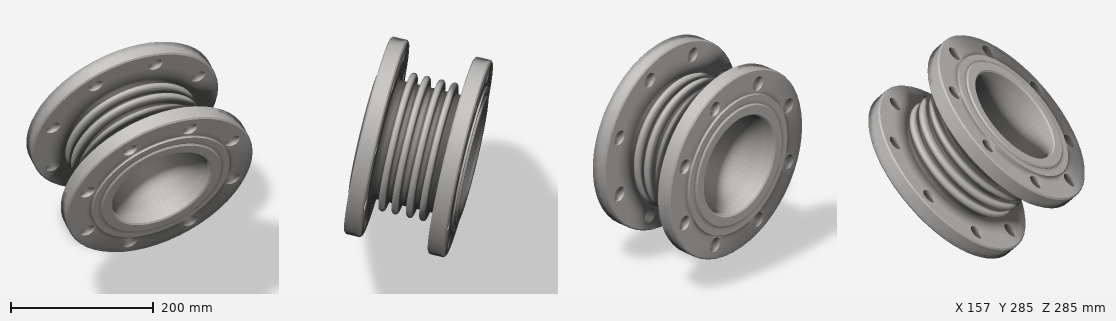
import cadquery as cq
import math

total_length = 157.0
end_face = total_length / 2
bore_diameter = 150.0
tube_diameter = 170.5
bore_chamfer = 2.0

flange_diameter = 285.0
flange_thickness = 24.0
flange_outer_face = 72.5
flange_inner_face = flange_outer_face - flange_thickness
flange_chamfer = 2.0
flange_root_fillet = 4.0

collar_diameter = 210.0
collar_face = 76.0
collar_root_fillet = 2.0
lip_diameter = 185.0
lip_chamfer = 2.0

bolt_hole_diameter = 22.0
bolt_circle_diameter = 240.0
bolt_count = 8
first_bolt_angle = 180 / bolt_count

ring_diameter = 200.0
ring_width = 9.0
ring_root_fillet = 2.0
inner_ring_offset = 10.5
outer_ring_offset = 29.5
ring_centers = (-outer_ring_offset, -inner_ring_offset, inner_ring_offset, outer_ring_offset)


def disc(diameter, x_start, x_end):
    """Solid cylinder along X between two stations."""
    return cq.Workplane("YZ", origin=(x_start, 0, 0)).circle(diameter / 2).extrude(x_end - x_start)


def flared_root(diameter, x_face, direction, radius):
    """Solid of revolution with a concave fillet between a cylinder and the face it stands on."""
    r = diameter / 2
    bend = radius * (1 - math.sqrt(0.5))
    x_tip = x_face + direction * radius
    return (
        cq.Workplane("XY")
        .moveTo(x_face, 0)
        .lineTo(x_face, r + radius)
        .threePointArc((x_face + direction * bend, r + bend), (x_tip, r))
        .lineTo(x_tip, 0)
        .close()
        .revolve(360, (0, 0, 0), (1, 0, 0))
    )


def flange_end(side):
    """Flange, raised faces and their root fillets at one end; side is -1 or +1."""
    plate = disc(flange_diameter, side * flange_inner_face, side * flange_outer_face)
    plate = plate.edges().chamfer(flange_chamfer)
    collar = disc(collar_diameter, side * flange_inner_face, side * collar_face)
    lip = disc(lip_diameter, side * flange_inner_face, side * end_face)
    collar_root = flared_root(collar_diameter, side * flange_outer_face, side, collar_root_fillet)
    lip = lip.faces(">X" if side > 0 else "<X").edges().chamfer(lip_chamfer)
    tube_root = flared_root(tube_diameter, side * flange_inner_face, -side, flange_root_fillet)
    return plate.union(collar).union(lip).union(collar_root).union(tube_root)


def bellows_ring(x_center):
    """One bellows ring with a fully rounded crest and filleted roots."""
    half_width = ring_width / 2
    crest_radius = ring_diameter / 2
    side_radius = crest_radius - half_width
    ring = (
        cq.Workplane("XY")
        .moveTo(x_center - half_width, 0)
        .lineTo(x_center - half_width, side_radius)
        .threePointArc((x_center, crest_radius), (x_center + half_width, side_radius))
        .lineTo(x_center + half_width, 0)
        .close()
        .revolve(360, (0, 0, 0), (1, 0, 0))
    )
    for side in (-1, 1):
        ring = ring.union(flared_root(tube_diameter, x_center + side * half_width, side, ring_root_fillet))
    return ring


def bolt_holes():
    """Bolt holes straddling the Y and Z axes, running through both flanges."""
    return (
        cq.Workplane("YZ", origin=(-end_face, 0, 0))
        .polarArray(bolt_circle_diameter / 2, first_bolt_angle, 360, bolt_count)
        .circle(bolt_hole_diameter / 2)
        .extrude(total_length)
    )


def chamfered_bore():
    """Through bore, widened by a chamfer at both mouths."""
    r = bore_diameter / 2
    return (
        cq.Workplane("XY")
        .moveTo(-end_face, 0)
        .lineTo(-end_face, r + bore_chamfer)
        .lineTo(-end_face + bore_chamfer, r)
        .lineTo(end_face - bore_chamfer, r)
        .lineTo(end_face, r + bore_chamfer)
        .lineTo(end_face, 0)
        .close()
        .revolve(360, (0, 0, 0), (1, 0, 0))
    )


body = disc(tube_diameter, -flange_inner_face, flange_inner_face)
for end_side in (-1, 1):
    body = body.union(flange_end(end_side))
for ring_center in ring_centers:
    body = body.union(bellows_ring(ring_center))

result = body.cut(chamfered_bore()).cut(bolt_holes())